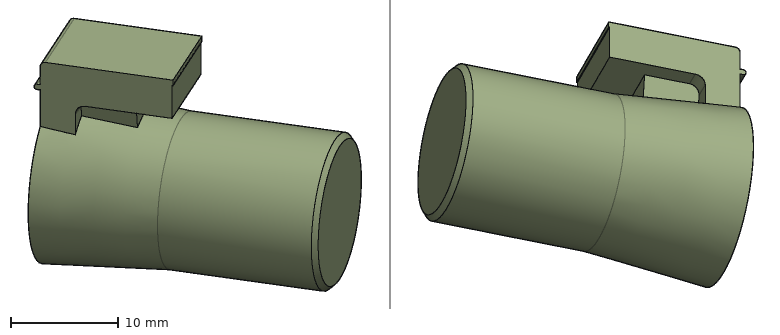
import cadquery as cq
import math

body_length = 27.8
flare_length = 12.3
flare_radius = 8.58
shank_radius = 7.5
end_chamfer = 0.5

grip_top = 14.0
grip_width = 9.35
grip_length = 12.87
arm_thickness = 4.03
leg_thickness = 3.45
outer_fillet = 0.5
inner_fillet = 1.0
lip_height = 0.6
lip_overhang = 0.09

bead_reach = 0.6
bead_radius = 0.28
bead_height = 11.3

web_end = 8.85
web_foot_width = 5.23
web_foot_height = 7.53
web_draft = 10.0

arm_underside = grip_top - arm_thickness


def make_body():
    profile = (
        cq.Workplane("XY")
        .lineTo(0, flare_radius)
        .lineTo(flare_length, shank_radius)
        .lineTo(body_length - end_chamfer, shank_radius)
        .lineTo(body_length, shank_radius - end_chamfer)
        .lineTo(body_length, 0)
        .close()
    )
    return profile.revolve(360, (0, 0), (1, 0))


def make_grip():
    lip_end = grip_length + lip_overhang
    outline = (
        cq.Workplane("XZ")
        .lineTo(0, grip_top - outer_fillet)
        .radiusArc((outer_fillet, grip_top), outer_fillet)
        .lineTo(lip_end, grip_top)
        .lineTo(lip_end, grip_top - lip_height)
        .lineTo(grip_length, grip_top - lip_height)
        .lineTo(grip_length, arm_underside)
        .lineTo(leg_thickness + inner_fillet, arm_underside)
        .radiusArc((leg_thickness, arm_underside - inner_fillet), -inner_fillet)
        .lineTo(leg_thickness, 0)
        .close()
    )
    return outline.extrude(grip_width / 2, both=True)


def make_bead():
    straight_end = bead_radius - bead_reach
    outline = (
        cq.Workplane("XZ")
        .moveTo(leg_thickness, bead_height - bead_radius)
        .lineTo(straight_end, bead_height - bead_radius)
        .threePointArc((-bead_reach, bead_height), (straight_end, bead_height + bead_radius))
        .lineTo(leg_thickness, bead_height + bead_radius)
        .close()
    )
    return outline.extrude(grip_width / 2, both=True)


def make_web():
    slope = math.tan(math.radians(web_draft))
    foot_half = web_foot_width / 2
    top_half = foot_half + (arm_underside - web_foot_height) * slope
    axis_half = foot_half - web_foot_height * slope
    section = (
        cq.Workplane("YZ")
        .moveTo(-axis_half, 0)
        .lineTo(axis_half, 0)
        .lineTo(top_half, arm_underside)
        .lineTo(-top_half, arm_underside)
        .close()
    )
    return section.extrude(web_end)


result = make_body().union(make_grip()).union(make_bead()).union(make_web())